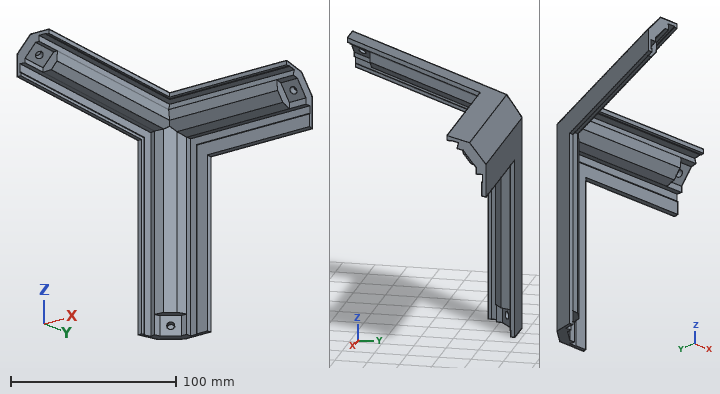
import cadquery as cq
import math

SIZE_X = 139.5
SIZE_Y = 111.6
SIZE_Z = 172.0
SLOPE = 0.255
STRETCH = math.hypot(1, SLOPE)
REACH = 223.5

OUTER_CHAMFER = 10.1
WEB_THICKNESS = 2.2
LIP_THICKNESS = 2.8
SEAT_THICKNESS = 6.0
LEANING_WIDTH = 24.2
BACK_WIDTH = 30.3
LIP_START = 22.0

CORE_WIDTH = 16.5
CORE_TAPER = 3.5
CORE_SHOULDER = 12.2

SEAT_LENGTH = 13.0
SEAT_CORNER = 14.1
HOLE_DIAMETER = 4.8
HOLE_DEPTH = 4.8

LEFT, TOP, BACK = range(3)
PANEL_WIDTHS = (LEANING_WIDTH, LEANING_WIDTH, BACK_WIDTH)
X_MAX = SIZE_X - SLOPE * SIZE_Y
Z_MAX = SLOPE * SIZE_Y
Z_MIN = Z_MAX - SIZE_Z

INWARD = (
    cq.Vector(1, -SLOPE, 0).normalized(),
    cq.Vector(0, -SLOPE, -1).normalized(),
    cq.Vector(0, -1, 0),
)

ARMS = (
    ((LEFT, TOP, BACK), cq.Vector(1, 0, 0), X_MAX),
    ((TOP, LEFT, BACK), cq.Vector(0, 0, -1), -Z_MIN),
    ((BACK, LEFT, TOP), cq.Vector(0, -1, 0), SIZE_Y),
)


def point(depths):
    """Point at the given distances from the left, top and back panels."""
    left, top, back = depths
    return cq.Vector(
        left * STRETCH - SLOPE * back,
        -back,
        -top * STRETCH + SLOPE * back,
    )


def arm_point(panels, distance, first_depth, second_depth):
    """Point given by its distances from the panels in the order of an arm."""
    depths = [0, 0, 0]
    for panel, depth in zip(panels, (distance, first_depth, second_depth)):
        depths[panel] = depth
    return point(depths)


def prism(panels, profile, start=0.0):
    """Bar along an arm; its profile lists distances from the arm's two panels."""
    corners = [arm_point(panels, start, *depths) for depths in profile]
    section = cq.Face.makeFromWires(cq.Wire.makePolygon(corners, close=True))
    run = arm_point(panels, 2 * REACH, 0, 0)
    return cq.Workplane(cq.Solid.extrudeLinear(section, run))


def flange(panels, thickness, inner=0.0, start=0.0):
    """Strips of both panels of an arm, from an inner distance to the panel edges."""
    first, second = panels[1:]
    first_edge = PANEL_WIDTHS[first]
    second_edge = PANEL_WIDTHS[second]
    on_first = [(0, inner), (0, first_edge), (thickness, first_edge), (thickness, inner)]
    on_second = [(inner, 0), (second_edge, 0), (second_edge, thickness), (inner, thickness)]
    return prism(panels, on_first, start).union(prism(panels, on_second, start))


def core(panels):
    """Bar with walls square to the panels, tapered sides and a sloped inner face."""
    first, second = panels[1:]
    lean = INWARD[first].dot(INWARD[second])
    root = CORE_WIDTH + SEAT_THICKNESS * lean
    shoulder = root - CORE_TAPER * lean
    half = [(CORE_WIDTH, 0), (root, SEAT_THICKNESS), (shoulder, CORE_SHOULDER)]
    mirrored = [(b, a) for a, b in reversed(half)]
    return prism(panels, [(0, 0)] + half + mirrored)


def outer_chamfer(panels):
    """Waste outside the sloped outer face of an arm."""
    margin = OUTER_CHAMFER
    profile = [(-margin, -margin), (2 * margin, -margin), (-margin, 2 * margin)]
    return prism(panels, profile, -REACH)


def corner_tip():
    """Pyramid cut from the corner, leaving a triangular facet between the chamfers."""
    tip = 2 * OUTER_CHAMFER
    apex = point((0, 0, 0))
    corners = [point((tip, 0, 0)), point((0, tip, 0)), point((0, 0, tip))]
    triangles = [corners] + [[apex, corners[i - 1], corners[i]] for i in range(3)]
    faces = [cq.Face.makeFromWires(cq.Wire.makePolygon(t, close=True)) for t in triangles]
    return cq.Workplane(cq.Solid.makeSolid(cq.Shell.makeShell(faces)))


def seat(panels, axis, end):
    """Opening at an arm end that leaves the panels and a sloped face."""
    thin = SEAT_THICKNESS
    far = 2 * CORE_WIDTH
    profile = [(SEAT_CORNER, thin), (far, thin), (far, far), (thin, far), (thin, SEAT_CORNER)]
    end_plane = cq.Plane(origin=axis * (end - SEAT_LENGTH), normal=axis)
    end_zone = cq.Workplane(end_plane).rect(2 * REACH, 2 * REACH).extrude(REACH)
    return prism(panels, profile).intersect(end_zone)


def screw_hole(panels, axis, end):
    """Blind hole square to the sloped seat face, at the middle of the seat."""
    first, second = panels[1:]
    middle = (SEAT_CORNER + SEAT_THICKNESS) / 2
    base = arm_point(panels, 0, middle, middle)
    run = arm_point(panels, 1, 0, 0)
    travel = (end - SEAT_LENGTH / 2 - base.dot(axis)) / run.dot(axis)
    center = base + run * travel
    outward = -(INWARD[first] + INWARD[second]).normalized()
    return cq.Workplane(cq.Solid.makeCylinder(HOLE_DIAMETER / 2, HOLE_DEPTH, center, outward))


result = core(ARMS[LEFT][0]).union(core(ARMS[TOP][0])).union(core(ARMS[BACK][0]))
for panels, axis, end in ARMS:
    result = result.union(flange(panels, WEB_THICKNESS))
    result = result.union(flange(panels, LIP_THICKNESS, LIP_START, LIP_START))

for panels, axis, end in ARMS:
    result = result.cut(outer_chamfer(panels))
result = result.cut(corner_tip())

envelope = cq.Workplane().box(SIZE_X, SIZE_Y, SIZE_Z, centered=False)
result = result.intersect(envelope.translate((X_MAX - SIZE_X, -SIZE_Y, Z_MIN)))

for panels, axis, end in ARMS:
    result = result.cut(seat(panels, axis, end))
    result = result.cut(screw_hole(panels, axis, end))

result = result.clean()